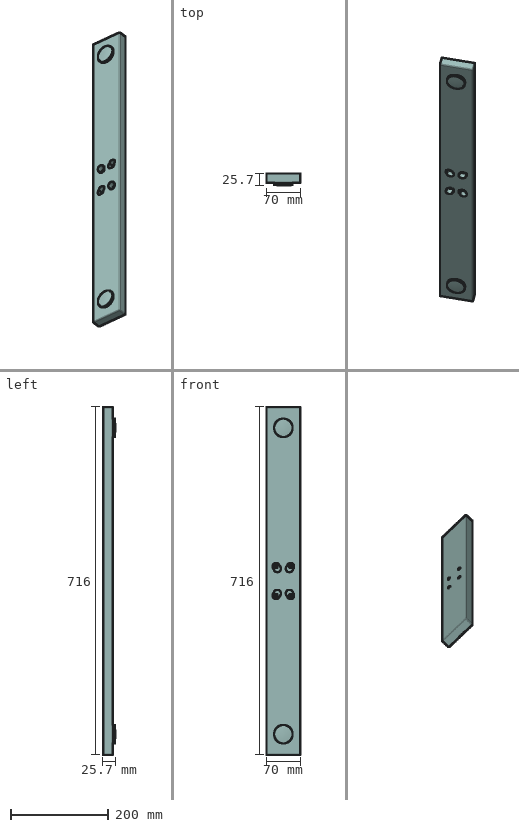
import cadquery as cq
import math

plate_width = 70.0
plate_length = 716.0
plate_thickness = 20.0
edge_radius = 1.8
back_edge_radius = 0.8

button_radius = 19.0
button_rim_height = 4.0
button_total_height = 5.65
button_end_distance = 43.0

hole_pitch_x = 30.0
hole_pitch_z = 60.0
hole_diameter = 6.0
outer_lobe_diameter = 14.4
inner_lobe_diameter = 15.0
lobe_spacing = 5.2
lobe_angle = math.radians(60)
pocket_depth = 14.0


def make_plate():
    """Flat bar with rounded edges, the rounding being smaller around the back face."""
    plate = cq.Workplane("XY").box(plate_width, plate_thickness, plate_length)
    plate = plate.edges("not >Y").fillet(edge_radius)
    plate = plate.faces(">Y").edges().fillet(back_edge_radius)
    return plate.translate((0, plate_thickness / 2, 0))


def make_button(z):
    """Disc with a spherical cap, revolved about an axis along Y and rooted inside the plate."""
    root = plate_thickness / 2
    cap_height = button_total_height - button_rim_height
    cap_radius = (button_radius**2 + cap_height**2) / (2 * cap_height)
    half_angle = math.asin(button_radius / cap_radius) / 2
    cap_mid_x = cap_radius * math.sin(half_angle)
    cap_mid_y = cap_radius * (1 - math.cos(half_angle)) - button_total_height
    return (
        cq.Workplane("XY", origin=(0, 0, z))
        .moveTo(0, root)
        .lineTo(button_radius, root)
        .lineTo(button_radius, -button_rim_height)
        .threePointArc((cap_mid_x, cap_mid_y), (0, -button_total_height))
        .close()
        .revolve(360, (0, 0), (0, 1))
    )


def front_bore(x, z, diameter, depth):
    """Round cutter entering the front face at (x, z)."""
    return cq.Workplane("XZ", origin=(x, 0, z)).circle(diameter / 2).extrude(-depth)


def make_screw_pocket(side_x, side_z):
    """Through hole in an outer lobe, joined by a second lobe nearer the plate centre."""
    x = side_x * hole_pitch_x / 2
    z = side_z * hole_pitch_z / 2
    inner_x = x - side_x * lobe_spacing * math.cos(lobe_angle)
    inner_z = z - side_z * lobe_spacing * math.sin(lobe_angle)
    hole = front_bore(x, z, hole_diameter, plate_thickness)
    outer_lobe = front_bore(x, z, outer_lobe_diameter, pocket_depth)
    inner_lobe = front_bore(inner_x, inner_z, inner_lobe_diameter, pocket_depth)
    return hole.union(outer_lobe).union(inner_lobe)


result = make_plate()
for side in (-1, 1):
    result = result.union(make_button(side * (plate_length / 2 - button_end_distance)))
for side_x in (-1, 1):
    for side_z in (-1, 1):
        result = result.cut(make_screw_pocket(side_x, side_z))